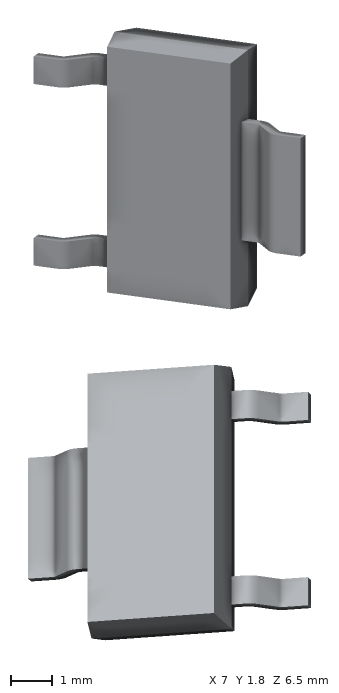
import cadquery as cq
import math

overall_length = 7.0
housing_width = 3.5
housing_height = 6.5
housing_front = 0.1
parting_depth = 0.855
housing_back = 1.8
draft_angle = 10.0

lead_thickness = 0.28
lead_top = parting_depth
foot_length = 0.61
inner_bend_radius = 0.13
bend_angle = 45.0
pin_width = 0.7
pin_offset = 2.3
tab_width = 3.0


def make_housing():
    """Body drafted inward toward both its front and back faces."""
    parting = cq.Workplane("XZ", origin=(0, parting_depth, 0))

    def tapered_half(toward_front):
        """Half extruded from the parting plane; positive distances run toward -Y."""
        return parting.rect(housing_width, housing_height).extrude(toward_front, taper=draft_angle)

    front_half = tapered_half(parting_depth - housing_front)
    back_half = tapered_half(parting_depth - housing_back)
    return front_half.union(back_half)


def make_lead(width, center_z):
    """Gull-wing lead on the -X side, ending flush on the drafted housing wall."""
    outer_radius = inner_bend_radius + lead_thickness
    angle = math.radians(bend_angle)
    lead_bottom = lead_top - lead_thickness
    foot_bend_x = foot_length - overall_length / 2
    foot_bend_y = outer_radius
    shoulder_bend_y = lead_bottom - inner_bend_radius

    bend_rise = shoulder_bend_y - foot_bend_y
    radius_sum = outer_radius + inner_bend_radius
    bend_spacing = (radius_sum + bend_rise * math.cos(angle)) / math.sin(angle)
    shoulder_bend_x = foot_bend_x + bend_spacing

    def foot_point(radius, turn):
        return (foot_bend_x + radius * math.sin(turn), foot_bend_y - radius * math.cos(turn))

    def shoulder_point(radius, turn):
        return (shoulder_bend_x - radius * math.sin(turn), shoulder_bend_y + radius * math.cos(turn))

    def wall_x(y):
        return -housing_width / 2 + (parting_depth - y) * math.tan(math.radians(draft_angle))

    profile = (
        cq.Workplane("XY", origin=(0, 0, center_z))
        .moveTo(-overall_length / 2, 0)
        .lineTo(*foot_point(outer_radius, 0))
        .threePointArc(foot_point(outer_radius, angle / 2), foot_point(outer_radius, angle))
        .lineTo(*shoulder_point(inner_bend_radius, angle))
        .threePointArc(shoulder_point(inner_bend_radius, angle / 2), shoulder_point(inner_bend_radius, 0))
        .lineTo(wall_x(lead_bottom), lead_bottom)
        .lineTo(wall_x(lead_top), lead_top)
        .lineTo(*shoulder_point(outer_radius, 0))
        .threePointArc(shoulder_point(outer_radius, angle / 2), shoulder_point(outer_radius, angle))
        .lineTo(*foot_point(inner_bend_radius, angle))
        .threePointArc(foot_point(inner_bend_radius, angle / 2), foot_point(inner_bend_radius, 0))
        .lineTo(-overall_length / 2, lead_thickness)
        .close()
    )
    return profile.extrude(width / 2, both=True)


def make_tab():
    """Wide heat tab on the +X side, with the mirrored lead profile."""
    return make_lead(tab_width, 0).mirror("YZ")


housing = make_housing()
pins = [make_lead(pin_width, side * pin_offset) for side in (-1, 1)]
tab = make_tab()

result = cq.Compound.makeCompound([housing.val(), *[pin.val() for pin in pins], tab.val()])